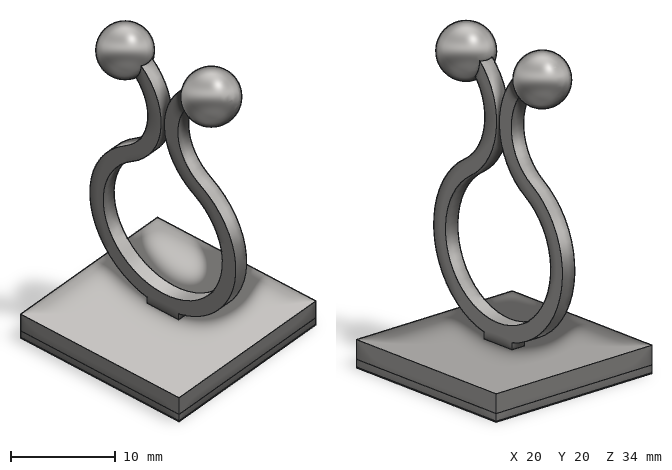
import cadquery as cq
import math

base_side = 20.0
liner_thickness = 0.1
pad_thickness = 0.78
plate_thickness = 2.0
pad_bottom = liner_thickness
plate_bottom = pad_bottom + pad_thickness
plate_top = plate_bottom + plate_thickness

strip_width = 1.7
strip_depth = 1.6
ring_inner_radius = 7.5
ring_center_z = 12.58
neck_gap = 0.4
neck_z = 25.5
stem_width = 4.0

overall_height = 34.0
ball_offset = 5.45
left_ball_radius = 2.82
right_ball_radius = 2.92

ring_radius = ring_inner_radius + strip_width / 2
neck_half = (neck_gap + strip_width) / 2
rise = neck_z - ring_center_z
arm_radius = (rise**2 + neck_half**2 - ring_radius**2) / (2 * (ring_radius - neck_half))
arm_center_x = neck_half + arm_radius
tangent_angle = math.atan2(rise, arm_center_x)
tip_angle = math.acos((ball_offset - arm_center_x) / arm_radius)


def square_layer(bottom, thickness):
    """Square slab centered on the Z axis."""
    return (
        cq.Workplane("XY")
        .workplane(offset=bottom)
        .rect(base_side, base_side)
        .extrude(thickness)
    )


def ring_point(radius, angle):
    return (radius * math.cos(angle), ring_center_z + radius * math.sin(angle))


def arm_point(side, radius, angle):
    """Point on an arm arc; side is -1 for the left arm and 1 for the right."""
    return (side * (arm_center_x + radius * math.cos(angle)), neck_z + radius * math.sin(angle))


def extrude_profile(profile):
    return profile.extrude(strip_depth / 2, both=True)


def ring():
    """Ring arc, open at the top between the two arms."""
    inner = ring_inner_radius
    outer = inner + strip_width
    bottom_angle = -math.pi / 2
    left_angle = math.pi - tangent_angle
    profile = (
        cq.Workplane("XZ")
        .moveTo(*ring_point(outer, tangent_angle))
        .threePointArc(ring_point(outer, bottom_angle), ring_point(outer, left_angle))
        .lineTo(*ring_point(inner, left_angle))
        .threePointArc(ring_point(inner, bottom_angle), ring_point(inner, tangent_angle))
        .close()
    )
    return extrude_profile(profile)


def arm(side):
    """Arc from the end of the ring, past the neck, to the ball."""
    inner = arm_radius - strip_width / 2
    outer = arm_radius + strip_width / 2
    start_angle = math.pi + tangent_angle
    profile = (
        cq.Workplane("XZ")
        .moveTo(*arm_point(side, outer, start_angle))
        .threePointArc(arm_point(side, outer, math.pi), arm_point(side, outer, tip_angle))
        .lineTo(*arm_point(side, inner, tip_angle))
        .threePointArc(arm_point(side, inner, math.pi), arm_point(side, inner, start_angle))
        .close()
    )
    return extrude_profile(profile)


def stem():
    """Short block that joins the bottom of the ring to the plate."""
    top = ring_center_z - ring_radius
    return (
        cq.Workplane("XY")
        .workplane(offset=plate_top)
        .rect(stem_width, strip_depth)
        .extrude(top - plate_top)
    )


def ball(side, radius):
    """Ball tip whose top reaches the overall height."""
    return cq.Workplane("XY").sphere(radius).translate((side * ball_offset, 0, overall_height - radius))


def make_clip():
    """Plate, stem, ring, arms and ball tips in one piece."""
    clip = square_layer(plate_bottom, plate_thickness).union(stem()).union(ring())
    for side, ball_radius in ((-1, left_ball_radius), (1, right_ball_radius)):
        clip = clip.union(arm(side)).union(ball(side, ball_radius))
    return clip


clip = make_clip()
adhesive_pad = square_layer(pad_bottom, pad_thickness)
liner = square_layer(0, liner_thickness)

result = cq.Compound.makeCompound([clip.solids().val(), adhesive_pad.val(), liner.val()])